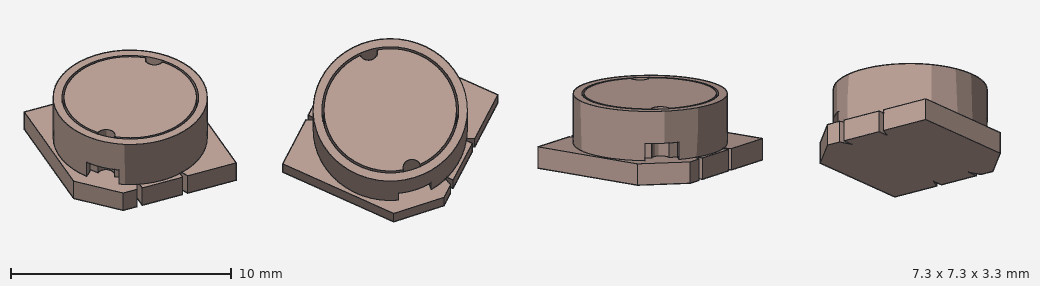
import cadquery as cq

base_side = 7.3
base_height = 1.0
total_height = 3.3
half_side = base_side / 2
upper_height = total_height - base_height

corner_cut = 1.71
pad_half_width = 1.0
notch_mouth = 0.25
notch_depth = 0.59

ring_diameter = 6.99
ring_bore = 6.19
core_diameter = 6.0
core_radius = core_diameter / 2
core_groove_radius = 0.4

window_width = 1.56
window_height = 0.8

detail_angles = (-45, 135)


def make_base():
    """Square plate with two opposite corners cut and V notches beside the pads."""
    cut_end = half_side - corner_cut
    outline = [
        (-half_side, -half_side),
        (cut_end, -half_side),
        (half_side, -cut_end),
        (half_side, half_side),
        (-cut_end, half_side),
        (-half_side, cut_end),
    ]
    base = cq.Workplane("XY").polyline(outline).close().extrude(base_height)
    for x_side in (-1, 1):
        for y_side in (-1, 1):
            notch = [
                (x_side * half_side, y_side * pad_half_width),
                (x_side * half_side, y_side * (pad_half_width + notch_mouth)),
                (x_side * (half_side - notch_depth), y_side * pad_half_width),
            ]
            base = base.cut(cq.Workplane("XY").polyline(notch).close().extrude(base_height))
    return base


def make_ring():
    """Round wall with two windows standing on the base."""
    ring = (
        cq.Workplane("XY", origin=(0, 0, base_height))
        .circle(ring_diameter / 2)
        .circle(ring_bore / 2)
        .extrude(upper_height)
    )
    for angle in detail_angles:
        window = (
            cq.Workplane("XY", origin=(0, 0, base_height))
            .box(ring_diameter, window_width, window_height, centered=(False, True, False))
            .rotate((0, 0, 0), (0, 0, 1), angle)
        )
        ring = ring.cut(window)
    return ring


def make_core():
    """Solid cylinder with two half-round grooves down its side."""
    core = cq.Workplane("XY", origin=(0, 0, base_height)).circle(core_radius).extrude(upper_height)
    for angle in detail_angles:
        groove = (
            cq.Workplane("XY", origin=(0, 0, base_height))
            .center(core_radius, 0)
            .circle(core_groove_radius)
            .extrude(upper_height)
            .rotate((0, 0, 0), (0, 0, 1), angle)
        )
        core = core.cut(groove)
    return core


result = make_base().union(make_ring()).union(make_core())